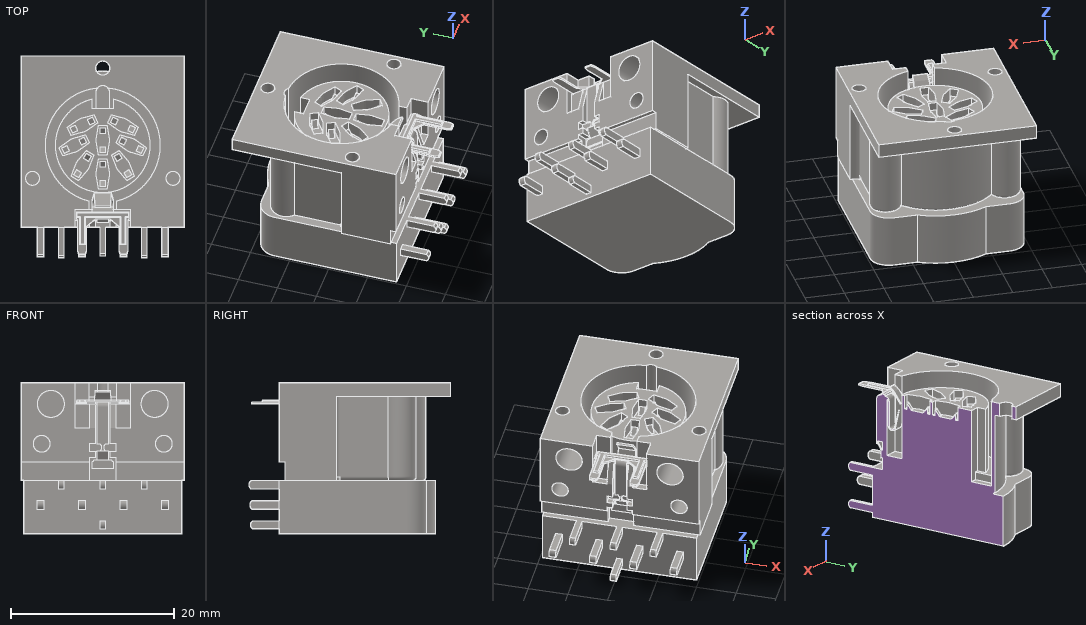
import cadquery as cq
import math


TOTAL_HEIGHT = 18.52
HOUSING_WIDTH = 19.96
FLANGE_DEPTH = 21.0
FLANGE_THICKNESS = 1.72
BLOCK_DEPTH = 7.0
FACE_STEP = 0.69
FACE_STEP_Z = 8.78

BASE_WIDTH = 19.4
BASE_HEIGHT = 6.55
BASE_STRAIGHT_DEPTH = 18.05
BASE_CORNER_RADIUS = 2.37
BASE_ROUND_RADIUS = 9.1

AXIS_Y = 10.05
BARREL_RADIUS = 7.93
BARREL_HALF_WIDTH = 8.85
EAR_X = 7.52
EAR_Y = 14.8
EAR_RADIUS = 1.97
BARREL_FILLET = 0.45

CAVITY_RADIUS = 7.04
ISLAND_RADIUS = 5.8
ISLAND_TOP = TOTAL_HEIGHT - 1.74
CAVITY_FLOOR = 8.52
KEY_NOTCH_WIDTH = 2.6
KEY_NOTCH_Y = 14.53
KEYWAY_WIDTH = 1.65
KEYWAY_END_Y = 17.37
KEYWAY_EXTRA_DEPTH = 1.0
SPRING_SLOT_WIDTH = 3.36

POLE_CIRCLE_RADIUS = 3.5
CENTRE_POLE_OFFSET = 0.62
POLE_LENGTH = 3.64
POLE_END_WIDTH = 1.07
POLE_MID_WIDTH = 1.65
POLE_MID_FLAT = 0.3
POLE_DEPTH = 1.7
OUTER_POLES = {45: -25, 0: -26, -45: -59, -90: -90, -135: -121, 180: -154, 135: -155}
BLADE_WIDTH = 0.72
BLADE_RUN = 0.7
BLADE_END_GAP = 0.3
BLADE_DEPTH = 0.85

FLANGE_HOLE_DIAMETER = 1.7
FLANGE_HOLE_Y = 19.5
PEG_HOLE_X = 8.6
PEG_HOLE_Y = 6.0
PEG_HOLE_DEPTH = 6.0
LARGE_HOLE_DIAMETER = 3.3
LARGE_HOLE_X = 6.35
LARGE_HOLE_Z = 15.92
SMALL_HOLE_DIAMETER = 2.05
SMALL_HOLE_X = 7.48
SMALL_HOLE_Z = 11.04
FACE_HOLE_DEPTH = 4.5

POCKET_WIDTH = 6.8
POCKET_DEPTH = 2.2
LEDGE_Z = 15.94
LOWER_POCKET_DEPTH = 0.86
LOWER_POCKET_Z = 12.97
RAMP_OUTER_WIDTH = 3.2
STRIP_SLOT_WIDTH = 1.82
STRIP_SLOT_DEPTH = 0.8
WINDOW_BOTTOM = 10.08
WINDOW_TOP = 11.06
FOOT_SLOT_DEPTH = 1.44
FOOT_SLOT_TOP = 9.34

SHEET = 0.23
BRIDGE_HALF_WIDTH = 3.23
BRIDGE_REAR_Y = 1.88
BRIDGE_SHOULDER_Y = 1.04
LEG_X = 2.54
LEG_WIDTH = 1.15
LEG_TIP_WIDTH = 0.82
LEG_TIP_Y = -3.4
LEG_TAPER_Y = -2.83
GUSSET_INNER_X = 0.86
GUSSET_FRONT_Y = 0.13
RIB_X = 2.49
RIB_WIDTH = 0.72
RIB_HEIGHT = 0.21
RIB_DRAFT = 25
RIB_END_Y = -2.12
RIB_INNER_Y = 1.22
STRIP_WIDTH = 1.45
STRIP_FRONT_Y = STRIP_SLOT_DEPTH - SHEET
STRIP_BEND_RADIUS = 0.65
STRIP_SHOULDER_Z = 11.0
NECK_WIDTH = 0.27
NECK_ROUND = 0.2
HEEL_TOP = 10.17
HEEL_BOTTOM = 9.05
FOOT_WIDTH = 2.62
FOOT_BOTTOM = 8.0
FOOT_CHAMFER = 0.25
SPRING_WIDTH = 2.6
SPRING_TIP_WIDTH = 1.87
SPRING_FRONT_Y = 2.28
SPRING_REAR_Y = 3.2
SPRING_BEND_Z = 12.4
SPRING_CREST_Y = 4.2
SPRING_CREST_Z = 15.7
SPRING_CREASE_Y = 3.27
SPRING_CREASE_Z = 16.98
SPRING_TIP_Y = 2.6
SPRING_TIP_Z = 17.55

PIN_PITCH = 2.54
PIN_HEIGHT = 1.07
LOWER_PIN_HEIGHT = 1.0
MIDDLE_PIN_TOP = 4.09
LOWER_PIN_TOP = 1.61
OVERALL_DEPTH = 24.72
PIN_LONG = OVERALL_DEPTH - FLANGE_DEPTH
PIN_MEDIUM = 3.6
PIN_SHORT = 3.52
PIN_NARROW = 0.72
PIN_WIDE = 0.83
PIN_EMBED = 1.0
PIN_TIP_BULGE = 0.3


def block(x0, x1, y0, y1, z0, z1):
    """Axis-aligned box between two corners."""
    return cq.Workplane("XY").box(x1 - x0, y1 - y0, z1 - z0, centered=False).translate((x0, y0, z0))


def centred_block(width, y0, y1, z0, z1):
    """Box symmetric about X = 0."""
    return block(-width / 2, width / 2, y0, y1, z0, z1)


def upright_cylinder(x, y, radius, z0, z1):
    """Cylinder along Z."""
    return cq.Workplane("XY", origin=(x, y, z0)).circle(radius).extrude(z1 - z0)


def both_sides(solid):
    """A solid together with its mirror image across X = 0."""
    return solid.union(solid.mirror("YZ"))


def side_profile(width):
    """YZ sketch plane placed so that extruding by width is symmetric about X = 0."""
    return cq.Workplane("YZ", origin=(-width / 2, 0, 0))


def make_base():
    slab = centred_block(BASE_WIDTH, 0, BASE_STRAIGHT_DEPTH, 0, BASE_HEIGHT)
    slab = slab.edges("|Z and >Y").fillet(BASE_CORNER_RADIUS)
    return slab.union(upright_cylinder(0, AXIS_Y, BASE_ROUND_RADIUS, 0, BASE_HEIGHT))


def rounded_post(x, y, radius):
    """Upright cylinder of the barrel with its lower edge rounded."""
    post = upright_cylinder(x, y, radius, BASE_HEIGHT, TOTAL_HEIGHT)
    return post.faces("<Z").edges().fillet(BARREL_FILLET)


def make_barrel():
    """Round barrel with flat flanks, an ear on each rear corner and a rounded lower edge."""
    flank_end = EAR_Y - EAR_RADIUS / math.sqrt(2)
    flanks = centred_block(2 * BARREL_HALF_WIDTH, 0, flank_end, BASE_HEIGHT, TOTAL_HEIGHT)
    flanks = flanks.edges("|Y and <Z").fillet(BARREL_FILLET)
    flanks = flanks.cut(centred_block(HOUSING_WIDTH, 0, BLOCK_DEPTH / 2, BASE_HEIGHT, TOTAL_HEIGHT))
    ear = rounded_post(-EAR_X, EAR_Y, EAR_RADIUS)
    return flanks.union(rounded_post(0, AXIS_Y, BARREL_RADIUS)).union(both_sides(ear))


def make_housing():
    front = centred_block(HOUSING_WIDTH, 0, BLOCK_DEPTH, BASE_HEIGHT, TOTAL_HEIGHT)
    front = front.cut(centred_block(HOUSING_WIDTH, 0, FACE_STEP, BASE_HEIGHT, FACE_STEP_Z))
    flange = centred_block(HOUSING_WIDTH, 0, FLANGE_DEPTH, TOTAL_HEIGHT - FLANGE_THICKNESS, TOTAL_HEIGHT)
    corner_fill = (
        cq.Workplane("XY", origin=(0, 0, BASE_HEIGHT))
        .moveTo(-BARREL_HALF_WIDTH, BLOCK_DEPTH)
        .lineTo(-BARREL_HALF_WIDTH, BLOCK_DEPTH + BARREL_FILLET)
        .radiusArc((-BARREL_HALF_WIDTH - BARREL_FILLET, BLOCK_DEPTH), BARREL_FILLET)
        .close()
        .extrude(TOTAL_HEIGHT - BASE_HEIGHT)
    )
    housing = make_base().union(make_barrel()).union(front)
    return housing.union(both_sides(corner_fill)).union(flange)


def cut_cavity(housing):
    """Ring-shaped plug cavity around the island, with keyway, key notch and spring slot."""
    cavity = upright_cylinder(0, AXIS_Y, CAVITY_RADIUS, CAVITY_FLOOR, TOTAL_HEIGHT)
    cavity = cavity.cut(upright_cylinder(0, AXIS_Y, ISLAND_RADIUS, CAVITY_FLOOR, ISLAND_TOP))

    notch = centred_block(KEY_NOTCH_WIDTH, KEY_NOTCH_Y, AXIS_Y + ISLAND_RADIUS, CAVITY_FLOOR, TOTAL_HEIGHT)
    keyway_floor = CAVITY_FLOOR - KEYWAY_EXTRA_DEPTH
    keyway_round_y = KEYWAY_END_Y - KEYWAY_WIDTH / 2
    keyway = centred_block(KEYWAY_WIDTH, KEY_NOTCH_Y, keyway_round_y, keyway_floor, TOTAL_HEIGHT)
    keyway = keyway.union(upright_cylinder(0, keyway_round_y, KEYWAY_WIDTH / 2, keyway_floor, TOTAL_HEIGHT))

    spring_slot = centred_block(SPRING_SLOT_WIDTH, POCKET_DEPTH, AXIS_Y, CAVITY_FLOOR, TOTAL_HEIGHT)
    spring_slot = spring_slot.cut(upright_cylinder(0, AXIS_Y, ISLAND_RADIUS, CAVITY_FLOOR, TOTAL_HEIGHT))
    return housing.cut(cavity).cut(notch).cut(keyway).cut(spring_slot)


def make_pole_opening():
    """Opening for one pole along X, less the two sloped contact blades facing each other in it."""
    outline = [
        (-POLE_LENGTH / 2, POLE_END_WIDTH / 2),
        (-POLE_MID_FLAT / 2, POLE_MID_WIDTH / 2),
        (POLE_MID_FLAT / 2, POLE_MID_WIDTH / 2),
        (POLE_LENGTH / 2, POLE_END_WIDTH / 2),
    ]
    outline += [(x, -y) for x, y in reversed(outline)]
    opening = cq.Workplane("XY").polyline(outline).close().extrude(-POLE_DEPTH)

    outer_x = -POLE_LENGTH / 2 + BLADE_END_GAP
    blade = (
        cq.Workplane("XZ", origin=(0, BLADE_WIDTH / 2, 0))
        .polyline([(outer_x, -BLADE_DEPTH), (outer_x, -POLE_DEPTH), (outer_x + BLADE_RUN, -POLE_DEPTH)])
        .close()
        .extrude(BLADE_WIDTH)
    )
    return opening.cut(both_sides(blade))


def cut_poles(housing):
    opening = make_pole_opening().translate((0, 0, ISLAND_TOP))
    placements = [(0, AXIS_Y + CENTRE_POLE_OFFSET, -90)]
    for position, direction in OUTER_POLES.items():
        angle = math.radians(position)
        x = POLE_CIRCLE_RADIUS * math.cos(angle)
        y = AXIS_Y + POLE_CIRCLE_RADIUS * math.sin(angle)
        placements.append((x, y, direction))
    for x, y, direction in placements:
        housing = housing.cut(opening.rotate((0, 0, 0), (0, 0, 1), direction).translate((x, y, 0)))
    return housing


def face_hole(x, z, diameter):
    """Blind hole bored from the mounting face."""
    return cq.Workplane("XZ", origin=(x, 0, z)).circle(diameter / 2).extrude(-FACE_HOLE_DEPTH)


def cut_holes(housing):
    flange_bottom = TOTAL_HEIGHT - FLANGE_THICKNESS
    radius = FLANGE_HOLE_DIAMETER / 2
    rear = upright_cylinder(0, FLANGE_HOLE_Y, radius, flange_bottom, TOTAL_HEIGHT)
    peg = upright_cylinder(-PEG_HOLE_X, PEG_HOLE_Y, radius, TOTAL_HEIGHT - PEG_HOLE_DEPTH, TOTAL_HEIGHT)
    large = face_hole(-LARGE_HOLE_X, LARGE_HOLE_Z, LARGE_HOLE_DIAMETER)
    small = face_hole(-SMALL_HOLE_X, SMALL_HOLE_Z, SMALL_HOLE_DIAMETER)
    housing = housing.cut(rear)
    for hole in (peg, large, small):
        housing = housing.cut(both_sides(hole))
    return housing


def cut_front_pocket(housing):
    """Stepped pocket, strip slot, windows and foot recess for the shield contact."""
    upper = centred_block(POCKET_WIDTH, 0, POCKET_DEPTH, LEDGE_Z, TOTAL_HEIGHT)
    lower = centred_block(POCKET_WIDTH, 0, LOWER_POCKET_DEPTH, LOWER_POCKET_Z, LEDGE_Z)
    ramps = (
        side_profile(RAMP_OUTER_WIDTH)
        .polyline([(0, LOWER_POCKET_Z), (LOWER_POCKET_DEPTH, LOWER_POCKET_Z), (LOWER_POCKET_DEPTH, LEDGE_Z)])
        .close()
        .extrude(RAMP_OUTER_WIDTH)
    )
    lower = lower.cut(ramps)
    strip_slot = centred_block(STRIP_SLOT_WIDTH, 0, STRIP_SLOT_DEPTH, WINDOW_BOTTOM, LEDGE_Z)
    windows = centred_block(RAMP_OUTER_WIDTH, 0, STRIP_SLOT_DEPTH, WINDOW_BOTTOM, WINDOW_TOP)
    heel_slot = centred_block(STRIP_SLOT_WIDTH, 0, FOOT_SLOT_DEPTH, FOOT_SLOT_TOP, WINDOW_BOTTOM)
    foot_slot = centred_block(RAMP_OUTER_WIDTH, 0, FOOT_SLOT_DEPTH, BASE_HEIGHT, FOOT_SLOT_TOP)
    for recess in (upper, lower, strip_slot, windows, heel_slot, foot_slot):
        housing = housing.cut(recess)
    return housing


def make_fork():
    """Flat fork lying on the ledge: bridge, two pointed legs and a raised rib along them."""
    leg_outer = LEG_X + LEG_WIDTH / 2
    leg_inner = LEG_X - LEG_WIDTH / 2
    tip_outer = LEG_X + LEG_TIP_WIDTH / 2
    tip_inner = LEG_X - LEG_TIP_WIDTH / 2
    right_half = [
        (BRIDGE_HALF_WIDTH, BRIDGE_REAR_Y),
        (BRIDGE_HALF_WIDTH, BRIDGE_SHOULDER_Y),
        (leg_outer, BRIDGE_SHOULDER_Y - (BRIDGE_HALF_WIDTH - leg_outer)),
        (leg_outer, LEG_TAPER_Y),
        (tip_outer, LEG_TIP_Y),
        (tip_inner, LEG_TIP_Y),
        (leg_inner, LEG_TAPER_Y),
        (leg_inner, GUSSET_FRONT_Y),
        (GUSSET_INNER_X, BRIDGE_SHOULDER_Y),
    ]
    outline = right_half + [(-x, y) for x, y in reversed(right_half)]
    fork = cq.Workplane("XY", origin=(0, 0, LEDGE_Z)).polyline(outline).close().extrude(SHEET)

    fork = fork.faces("<Y").edges(">Z").chamfer(SHEET / 2)

    rib_outer = RIB_X + RIB_WIDTH / 2
    rib_inner = RIB_X - RIB_WIDTH / 2
    rib_right_half = [
        (BRIDGE_HALF_WIDTH, BRIDGE_REAR_Y),
        (BRIDGE_HALF_WIDTH, RIB_INNER_Y),
        (rib_outer, RIB_INNER_Y),
        (rib_outer, RIB_END_Y),
        (rib_inner, RIB_END_Y),
        (rib_inner, RIB_INNER_Y),
    ]
    rib_outline = rib_right_half + [(-x, y) for x, y in reversed(rib_right_half)]
    rib = (
        cq.Workplane("XY", origin=(0, 0, LEDGE_Z + SHEET))
        .polyline(rib_outline)
        .close()
        .extrude(RIB_HEIGHT, taper=RIB_DRAFT)
    )
    return fork.union(rib)


def make_strip():
    """Strip bent down from the bridge; it narrows to a neck, slants inward and ends in a wide foot."""
    top = LEDGE_Z + SHEET
    back = STRIP_FRONT_Y + SHEET
    bend_y = STRIP_FRONT_Y + STRIP_BEND_RADIUS
    bend_z = top - STRIP_BEND_RADIUS
    inner_radius = STRIP_BEND_RADIUS - SHEET
    foot_front = FOOT_SLOT_DEPTH - SHEET
    strip = (
        side_profile(STRIP_WIDTH)
        .moveTo(BRIDGE_REAR_Y, top)
        .lineTo(bend_y, top)
        .radiusArc((STRIP_FRONT_Y, bend_z), -STRIP_BEND_RADIUS)
        .lineTo(STRIP_FRONT_Y, HEEL_TOP)
        .lineTo(foot_front, HEEL_BOTTOM)
        .lineTo(FOOT_SLOT_DEPTH, HEEL_BOTTOM)
        .lineTo(back, HEEL_TOP)
        .lineTo(back, bend_z)
        .radiusArc((bend_y, LEDGE_Z), inner_radius)
        .lineTo(BRIDGE_REAR_Y, LEDGE_Z)
        .close()
        .extrude(STRIP_WIDTH)
    )
    neck_side = block(NECK_WIDTH / 2, STRIP_WIDTH, 0, back, HEEL_TOP, STRIP_SHOULDER_Z)
    neck_side = neck_side.edges("|Y and <X").chamfer(NECK_ROUND)
    foot = centred_block(FOOT_WIDTH, foot_front, FOOT_SLOT_DEPTH, FOOT_BOTTOM, HEEL_BOTTOM)
    foot = foot.edges("|Y and >Z").chamfer(FOOT_CHAMFER)
    return strip.cut(both_sides(neck_side)).union(foot)


def make_spring():
    """U-shaped spring behind the bridge; its tapered rear leaf touches the plug shell."""
    top = LEDGE_Z + SHEET
    inner_y = SPRING_FRONT_Y + SHEET
    outer_bend = inner_y - BRIDGE_REAR_Y
    inner_bend = outer_bend - SHEET
    u_centre_y = (SPRING_FRONT_Y + SPRING_REAR_Y + SHEET) / 2
    u_outer = u_centre_y - SPRING_FRONT_Y
    u_inner = u_outer - SHEET
    hook = (
        side_profile(SPRING_WIDTH)
        .moveTo(BRIDGE_REAR_Y, top)
        .radiusArc((inner_y, top - outer_bend), outer_bend)
        .lineTo(inner_y, SPRING_BEND_Z)
        .radiusArc((SPRING_REAR_Y, SPRING_BEND_Z), -u_inner)
        .lineTo(SPRING_REAR_Y + SHEET, SPRING_BEND_Z)
        .radiusArc((SPRING_FRONT_Y, SPRING_BEND_Z), u_outer)
        .lineTo(SPRING_FRONT_Y, LEDGE_Z - inner_bend)
        .radiusArc((BRIDGE_REAR_Y, LEDGE_Z), -inner_bend)
        .close()
        .extrude(SPRING_WIDTH)
    )
    leaf_shift = SHEET / math.sqrt(2)
    leaf_outside = [
        (SPRING_REAR_Y + SHEET, SPRING_BEND_Z),
        (SPRING_CREST_Y, SPRING_CREST_Z),
        (SPRING_CREASE_Y, SPRING_CREASE_Z),
        (SPRING_TIP_Y, SPRING_TIP_Z),
    ]
    leaf_inside = [(y - leaf_shift, z - leaf_shift) for y, z in reversed(leaf_outside[1:])]
    leaf_inside.append((SPRING_REAR_Y, SPRING_BEND_Z))
    leaf = side_profile(SPRING_WIDTH).polyline(leaf_outside + leaf_inside).close().extrude(SPRING_WIDTH)
    taper = (
        cq.Workplane("XZ")
        .polyline([
            (-SPRING_WIDTH / 2, SPRING_BEND_Z),
            (SPRING_WIDTH / 2, SPRING_BEND_Z),
            (SPRING_TIP_WIDTH / 2, SPRING_TIP_Z),
            (-SPRING_TIP_WIDTH / 2, SPRING_TIP_Z),
        ])
        .close()
        .extrude(-AXIS_Y)
    )
    return hook.union(leaf.intersect(taper))


def make_pin(x, top, length, width, height=PIN_HEIGHT):
    """Solder pin with a rounded tip, reaching out of the base toward -Y."""
    bottom = top - height
    shoulder = PIN_TIP_BULGE - length
    return (
        cq.Workplane("YZ", origin=(x - width / 2, 0, 0))
        .moveTo(PIN_EMBED, bottom)
        .lineTo(shoulder, bottom)
        .threePointArc((-length, top - height / 2), (shoulder, top))
        .lineTo(PIN_EMBED, top)
        .close()
        .extrude(width)
    )


def make_pins():
    pins = make_pin(0, BASE_HEIGHT, PIN_SHORT, PIN_NARROW)
    pins = pins.union(make_pin(0, LOWER_PIN_TOP, PIN_SHORT, PIN_NARROW, LOWER_PIN_HEIGHT))
    pins = pins.union(both_sides(make_pin(2 * PIN_PITCH, BASE_HEIGHT, PIN_LONG, PIN_NARROW)))
    for pitches in (1, 3):
        pins = pins.union(both_sides(make_pin(pitches * PIN_PITCH, MIDDLE_PIN_TOP, PIN_MEDIUM, PIN_WIDE)))
    return pins


socket = make_housing()
for cut_feature in (cut_cavity, cut_poles, cut_holes, cut_front_pocket):
    socket = cut_feature(socket)
for make_metal in (make_fork, make_strip, make_spring, make_pins):
    socket = socket.union(make_metal())

result = socket